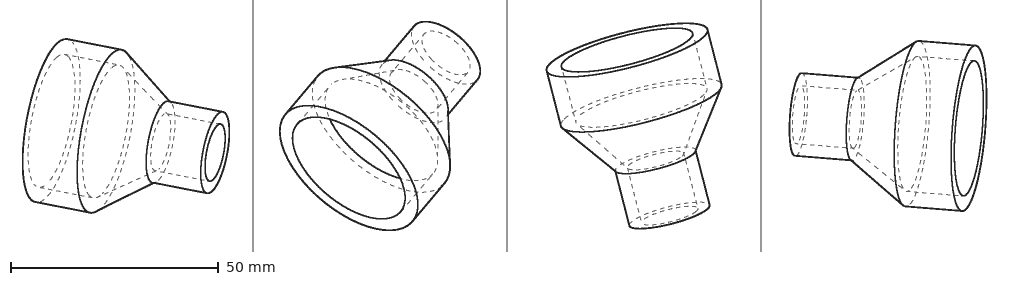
import cadquery as cq

large_outer_diameter = 40.0
large_bore_diameter = 32.6
small_outer_diameter = 20.0
small_bore_diameter = 14.0

large_end_length = 14.0
taper_length = 14.0
small_end_length = 14.0

taper_start = large_end_length
taper_end = taper_start + taper_length
total_length = taper_end + small_end_length


def stepped_taper(large_diameter, small_diameter):
    """Solid of revolution about X: large cylinder, cone, small cylinder."""
    large_radius = large_diameter / 2
    small_radius = small_diameter / 2
    half_profile = (
        cq.Workplane("XY")
        .moveTo(0, 0)
        .lineTo(0, large_radius)
        .lineTo(taper_start, large_radius)
        .lineTo(taper_end, small_radius)
        .lineTo(total_length, small_radius)
        .lineTo(total_length, 0)
        .close()
    )
    return half_profile.revolve(360, (0, 0, 0), (1, 0, 0))


body = stepped_taper(large_outer_diameter, small_outer_diameter)
bore = stepped_taper(large_bore_diameter, small_bore_diameter)

result = body.cut(bore)